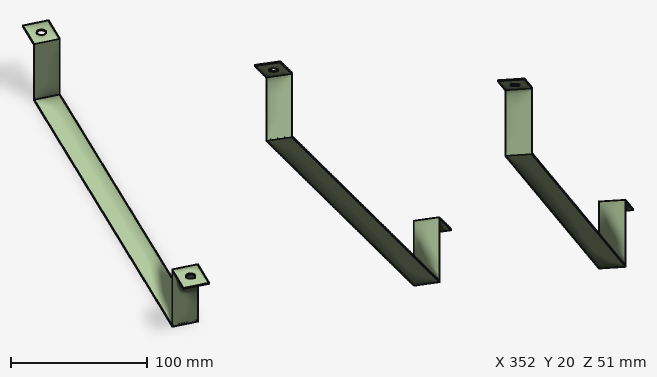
import cadquery as cq

overall_length = 352.0
strip_width = 20.0
overall_height = 51.0
thickness = 1.0
flange_length = 25.0
hole_diameter = 7.0
hole_to_flange_end = 12.5

half_length = overall_length / 2
leg_inner_x = half_length - flange_length
leg_outer_x = leg_inner_x + thickness
flange_bottom_z = overall_height - thickness
hole_x = half_length - hole_to_flange_end


def make_strip():
    """Bent strip: a long base, two upright legs and two outward flanges."""
    right_half = [
        (leg_outer_x, 0),
        (leg_outer_x, flange_bottom_z),
        (half_length, flange_bottom_z),
        (half_length, overall_height),
        (leg_inner_x, overall_height),
        (leg_inner_x, thickness),
    ]
    left_half = [(-x, z) for x, z in reversed(right_half)]
    profile = cq.Workplane("XZ").polyline(right_half + left_half).close()
    return profile.extrude(strip_width / 2, both=True)


def make_mounting_holes():
    """One vertical hole cutter through each end flange."""
    return (
        cq.Workplane("XY", origin=(0, 0, flange_bottom_z))
        .pushPoints([(-hole_x, 0), (hole_x, 0)])
        .circle(hole_diameter / 2)
        .extrude(thickness)
    )


result = make_strip().cut(make_mounting_holes())